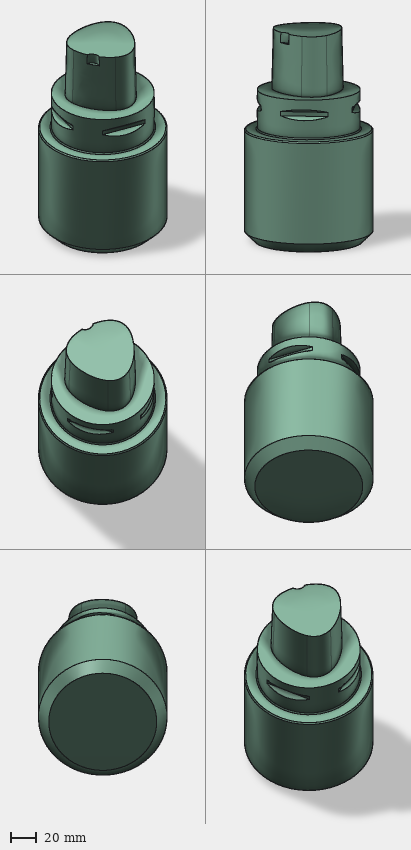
import cadquery as cq
import math

total_height = 168.0
collar_top = 120.3
body_top = 89.0

body_radius = 100.0 / 2
collar_radius = 80.0 / 2
bottom_chamfer = 8.0
rim_chamfer = 1.0
collar_foot = 1.0

shank_base_radius = 27.5
diameter_taper = 1 / 20
shank_top_radius = shank_base_radius - (total_height - collar_top) * diameter_taper / 2
lobe_count = 3
lobe_pitch = 360 / lobe_count
lobe_offset = 2.0
lobe_half_span = 25.0
points_per_face = 9

notch_width = 10.0
notch_depth = 2.5
notch_height = 8.0

groove_count = 4
groove_first_angle = 45.0
groove_floor_distance = 35.5
groove_floor_height = 3.4
groove_center_z = 108.2
groove_flank_angle = 30.0


def make_round_stack():
    """Revolved body and collar, including the chamfers and the flared collar foot."""
    profile = (
        cq.Workplane("XZ")
        .moveTo(0, 0)
        .lineTo(body_radius - bottom_chamfer, 0)
        .lineTo(body_radius, bottom_chamfer)
        .lineTo(body_radius, body_top - rim_chamfer)
        .lineTo(body_radius - rim_chamfer, body_top)
        .lineTo(collar_radius + collar_foot, body_top)
        .lineTo(collar_radius, body_top + collar_foot)
        .lineTo(collar_radius, collar_top)
        .lineTo(0, collar_top)
        .close()
    )
    return profile.revolve(360, (0, 0, 0), (0, 1, 0))


def lobed_point(mean_radius, angle, z):
    """Point on a three-lobed trochoid with one lobe pointing along +Y."""
    t = math.radians(angle)
    x = -mean_radius * math.sin(t) + lobe_offset * math.sin(2 * t)
    y = mean_radius * math.cos(t) + lobe_offset * math.cos(2 * t)
    return cq.Vector(x, y, z)


def lobed_tangent(mean_radius, angle):
    """Direction of the trochoid at the given angle."""
    t = math.radians(angle)
    x = -mean_radius * math.cos(t) + 2 * lobe_offset * math.cos(2 * t)
    y = -mean_radius * math.sin(t) - 2 * lobe_offset * math.sin(2 * t)
    return cq.Vector(x, y, 0)


def lobed_wire(mean_radius, z):
    """Closed outline made of alternating lobe and flat-side curves."""
    edges = []
    for lobe in range(lobe_count):
        lobe_angle = lobe * lobe_pitch
        lobe_start = lobe_angle - lobe_half_span
        lobe_end = lobe_angle + lobe_half_span
        next_lobe_start = lobe_start + lobe_pitch
        for start, end in ((lobe_start, lobe_end), (lobe_end, next_lobe_start)):
            step = (end - start) / (points_per_face - 1)
            points = [lobed_point(mean_radius, start + i * step, z) for i in range(points_per_face)]
            tangents = [lobed_tangent(mean_radius, start), lobed_tangent(mean_radius, end)]
            edges.append(cq.Edge.makeSpline(points, tangents=tangents))
    return cq.Wire.assembleEdges(edges)


def make_shank():
    """Ruled taper between the lobed outlines at the collar and at the free end."""
    base = lobed_wire(shank_base_radius, collar_top)
    tip = lobed_wire(shank_top_radius, total_height)
    return cq.Workplane(obj=cq.Solid.makeLoft([base, tip], True))


def make_notch():
    """Round-bottomed cutter whose chord at the shank tip equals the notch width."""
    radius = ((notch_width / 2) ** 2 + notch_depth**2) / (2 * notch_depth)
    flat_y = -(shank_top_radius - lobe_offset)
    center_y = flat_y + notch_depth - radius
    return (
        cq.Workplane("XY", origin=(0, center_y, total_height - notch_height))
        .circle(radius)
        .extrude(notch_height)
    )


def make_groove(angle):
    """Straight groove with a flat floor and flanks that open outward."""
    depth = collar_radius - groove_floor_distance
    floor_half = groove_floor_height / 2
    mouth_half = floor_half + depth * math.tan(math.radians(groove_flank_angle))
    return (
        cq.Workplane("XZ")
        .polyline([
            (groove_floor_distance, groove_center_z - floor_half),
            (collar_radius, groove_center_z - mouth_half),
            (collar_radius, groove_center_z + mouth_half),
            (groove_floor_distance, groove_center_z + floor_half),
        ])
        .close()
        .extrude(collar_radius, both=True)
        .rotate((0, 0, 0), (0, 0, 1), angle)
    )


result = make_round_stack().union(make_shank()).cut(make_notch())

for index in range(groove_count):
    result = result.cut(make_groove(groove_first_angle + index * 360 / groove_count))